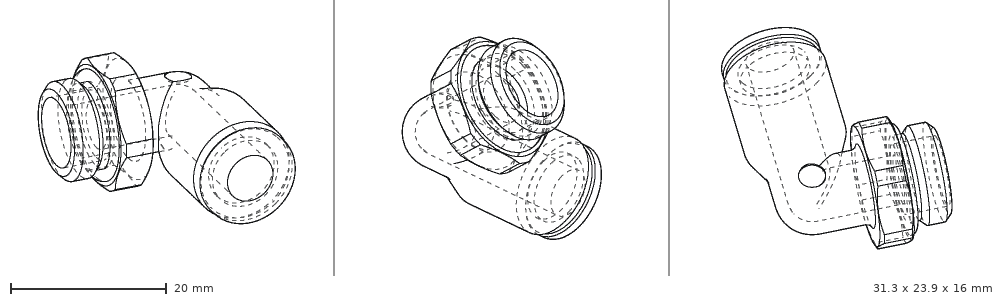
import cadquery as cq
import math


elbow_radius = 4.9
bore_radius = 3.2

hex_sides = 6
hex_back = -7.02
hex_front = -11.57
hex_across_flats = 16.0
hex_corner_radius = 8.7
hex_face_radius = 7.93
hex_chamfer_depth = 0.4

flare_start = -6.08
flare_radius = 1.0

seal_radius = 7.37
relief_radius = 5.7
relief_end = -13.1
thread_radius = 6.55
thread_chamfer = thread_radius - relief_radius
thread_end = -17.12
counterbore_radius = 4.6
counterbore_depth = 5.65

socket_radius = 6.75
cone_start = 4.73
cone_end = 8.85
cone_start_blend = 1.13
cone_end_blend = 1.38
socket_end = 19.88

ring_neck_radius = 4.6
ring_radius = 6.5
ring_start = 21.05
ring_end = 22.65
ring_chamfer = 0.28
ring_round = 0.38

recess_radius = 1.75
recess_floor = 4.58


def cylinder_x(radius, start, end):
    """Cylinder on the X axis between two X positions."""
    return cq.Workplane("YZ", origin=(start, 0, 0)).circle(radius).extrude(end - start)


def cylinder_y(radius, start, end):
    """Cylinder on the Y axis from start down to end, where end is further along -Y."""
    return cq.Workplane("XZ", origin=(0, start, 0)).circle(radius).extrude(start - end)


def spin_y(profile):
    """Revolve an XY profile around the Y axis."""
    return profile.close().revolve(360, (0, 0, 0), (0, 1, 0))


def make_elbow():
    """Threaded arm of the elbow with its spherical outer corner."""
    threaded_arm = cylinder_y(elbow_radius, 0, hex_front)
    corner = cq.Workplane("XY").sphere(elbow_radius)
    return threaded_arm.union(corner)


def make_flare():
    center_radius = elbow_radius + flare_radius

    def arc_point(y):
        return (center_radius - math.sqrt(flare_radius**2 - (y - flare_start) ** 2), y)

    return spin_y(
        cq.Workplane("XY")
        .moveTo(0, flare_start)
        .lineTo(elbow_radius, flare_start)
        .threePointArc(arc_point((flare_start + hex_back) / 2), arc_point(hex_back))
        .lineTo(0, hex_back)
    )


def make_hexagon():
    across_corners = hex_across_flats / math.cos(math.pi / hex_sides)
    prism = (
        cq.Workplane("XZ", origin=(0, hex_back, 0))
        .polygon(hex_sides, across_corners)
        .extrude(hex_back - hex_front)
    )
    turned_blank = spin_y(
        cq.Workplane("XY")
        .moveTo(0, hex_back)
        .lineTo(hex_face_radius, hex_back)
        .lineTo(hex_corner_radius, hex_back - hex_chamfer_depth)
        .lineTo(hex_corner_radius, hex_front + hex_chamfer_depth)
        .lineTo(hex_face_radius, hex_front)
        .lineTo(0, hex_front)
    )
    return prism.intersect(turned_blank)


def make_threaded_end():
    seal_middle = (seal_radius + relief_radius) / 2
    seal_thickness = (seal_radius - relief_radius) / 2
    seal = spin_y(
        cq.Workplane("XY")
        .moveTo(seal_radius, hex_front)
        .threePointArc((seal_middle, hex_front - seal_thickness), (relief_radius, hex_front))
    )
    relief = cylinder_y(relief_radius, hex_front, thread_end)
    thread = cylinder_y(thread_radius, relief_end, thread_end)
    thread = thread.faces("<Y or >Y").edges().chamfer(thread_chamfer)
    return relief.union(seal).union(thread)


def make_socket():
    """Socket body: short neck, blended cone and straight barrel."""
    body = (
        cq.Workplane("XY")
        .lineTo(0, elbow_radius)
        .lineTo(cone_start, elbow_radius)
        .lineTo(cone_end, socket_radius)
        .lineTo(socket_end, socket_radius)
        .lineTo(socket_end, 0)
        .close()
        .revolve(360, (0, 0, 0), (1, 0, 0))
    )
    body = body.edges(cq.NearestToPointSelector((cone_start, 0, 0))).fillet(cone_start_blend)
    return body.edges(cq.NearestToPointSelector((cone_end, 0, 0))).fillet(cone_end_blend)


def make_release_ring():
    neck = cylinder_x(ring_neck_radius, socket_end, ring_start)
    ring = cylinder_x(ring_radius, ring_start, ring_end)
    ring = ring.faces("<X").edges().chamfer(ring_chamfer)
    ring = ring.faces(">X").edges().fillet(ring_round)
    return neck.union(ring)


def make_bore():
    """Through passage that turns the corner, widened at the threaded end."""
    threaded_leg = cylinder_y(bore_radius, 0, thread_end)
    socket_leg = cylinder_x(bore_radius, 0, ring_end)
    corner = cq.Workplane("XY").sphere(bore_radius)
    counterbore = cylinder_y(counterbore_radius, thread_end + counterbore_depth, thread_end)
    return threaded_leg.union(socket_leg).union(corner).union(counterbore)


def make_recess():
    return (
        cq.Workplane("XY", origin=(0, 0, recess_floor))
        .circle(recess_radius)
        .extrude(elbow_radius - recess_floor)
    )


result = (
    make_elbow()
    .union(make_flare())
    .union(make_hexagon())
    .union(make_threaded_end())
    .union(make_socket())
    .union(make_release_ring())
    .cut(make_bore())
    .cut(make_recess())
)